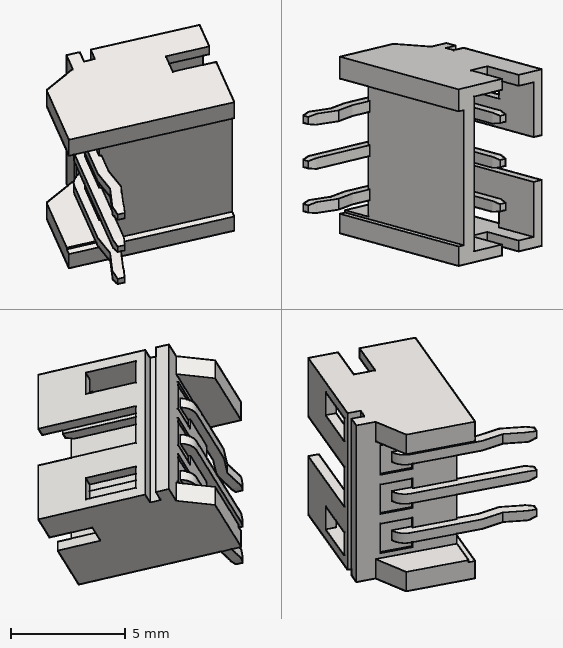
import cadquery as cq
import math


housing_width = 5.0
housing_height = 8.0
housing_depth = 6.12
core_width = 4.69
core_bottom = -3.11
plate_thickness = 1.0
ear_depth = 7.6
ear_start = 0.9
ear_full = 1.785

groove_near = 5.005
groove_far = 5.5
groove_depth = 0.61

wall = 0.5
cavity_depth = 4.57
cavity_end = 4.05
window_near = 2.22
window_bottom = 2.32
side_slot_height = 2.025
plate_slot_start = 1.395
plate_slot_end = 2.39
plate_slot_depth = 2.0

rib_inner = 0.74
rib_width = 0.83
rib_height = 0.5
rib_near = 1.445
rib_chamfer = 0.17

pin_pitch = 2.0
pin_size = 0.5
pin_x = 1.875
pin_mating_tip = 0.5
pin_leg_depth = 6.26
pin_reach = 8.3
bend_radius = 0.515
tip_length = 0.4
tip_size = 0.33
kink_start = 5.73
kink_end = 7.83
kink_rise = 0.23

pocket_size = 1.5
pocket_depth = 0.1

half_height = housing_height / 2
cavity_half_height = half_height - wall
pin_levels = [-pin_pitch, 0, pin_pitch]


def block(x_min, x_max, depth_near, depth_far, z_min, z_max):
    """Box between two X values, two depths behind the mouth and two Z values."""
    size = (x_max - x_min, depth_far - depth_near, z_max - z_min)
    return cq.Workplane("XY").box(*size, centered=False).translate((x_min, -depth_far, z_min))


def make_shell():
    """Full-height outline with ears and groove, trimmed back between the plates."""
    outline = [
        (0, 0),
        (0, -groove_near),
        (groove_depth, -groove_near),
        (groove_depth, -groove_far),
        (0, -groove_far),
        (0, -housing_depth),
        (ear_start, -housing_depth),
        (ear_full, -ear_depth),
        (housing_width, -ear_depth),
        (housing_width, 0),
    ]
    shell = (
        cq.Workplane("XY", origin=(0, 0, -half_height))
        .polyline(outline)
        .close()
        .extrude(housing_height)
    )
    plate_inner = half_height - plate_thickness
    between_ears = block(0, housing_width, housing_depth, ear_depth, -plate_inner, plate_inner)
    side_recess = block(core_width, housing_width, 0, ear_depth, core_bottom, plate_inner)
    return shell.cut(between_ears).cut(side_recess)


def cut_openings(body):
    """Cavity, the windows and slot in one wall, and the slots in both plates."""
    body = body.cut(block(wall, cavity_end, 0, cavity_depth, -cavity_half_height, cavity_half_height))
    side_slot_half = side_slot_height / 2
    body = body.cut(block(0, wall, 0, cavity_depth, -side_slot_half, side_slot_half))
    upper_window = block(0, wall, window_near, cavity_depth, window_bottom, cavity_half_height)
    body = body.cut(upper_window).cut(upper_window.mirror("XY"))
    plate_slot = block(plate_slot_start, plate_slot_end, 0, plate_slot_depth, -half_height, half_height)
    return body.cut(plate_slot)


def make_ribs():
    """Two guide ribs whose mouth ends have chamfered corners."""
    rib = block(cavity_end - rib_height, cavity_end, rib_near, cavity_depth, rib_inner, rib_inner + rib_width)
    rib = rib.faces(">Y").edges("|X").chamfer(rib_chamfer)
    return rib.union(rib.mirror("XY"))


def cut_pockets(body):
    """Square pocket around each pin in the back face."""
    for level in pin_levels:
        pocket = block(
            pin_x - pocket_size / 2,
            pin_x + pocket_size / 2,
            housing_depth - pocket_depth,
            housing_depth,
            level - pocket_size / 2,
            level + pocket_size / 2,
        )
        body = body.cut(pocket)
    return body


def make_tip(base, direction):
    """Pyramid-shaped pin end growing from the base point along a direction."""
    plane = cq.Plane(origin=base, xDir=(0, 0, 1), normal=direction)
    return (
        cq.Workplane(plane)
        .rect(pin_size, pin_size)
        .workplane(offset=tip_length)
        .rect(tip_size, tip_size)
        .loft(ruled=True)
    )


def make_pin(level, kinked):
    """Mating leg along Y, a round bend, and a solder leg along X."""
    half = pin_size / 2
    inner_radius = bend_radius - half
    outer_radius = bend_radius + half
    mating_start = -(pin_mating_tip + tip_length)
    solder_end = pin_reach - tip_length
    bend_x = pin_x + bend_radius
    bend_y = -pin_leg_depth + bend_radius
    leg_low = -pin_leg_depth - half
    leg_high = -pin_leg_depth + half
    kink_peak = (kink_start + kink_end) / 2
    diagonal = math.sqrt(0.5)

    profile = (
        cq.Workplane("XY", origin=(0, 0, level - half))
        .moveTo(pin_x - half, mating_start)
        .lineTo(pin_x - half, bend_y)
        .threePointArc(
            (bend_x - outer_radius * diagonal, bend_y - outer_radius * diagonal),
            (bend_x, leg_low),
        )
    )
    if kinked:
        profile = (
            profile.lineTo(kink_start, leg_low)
            .lineTo(kink_peak, leg_low + kink_rise)
            .lineTo(kink_end, leg_low)
        )
    profile = profile.lineTo(solder_end, leg_low).lineTo(solder_end, leg_high)
    if kinked:
        profile = (
            profile.lineTo(kink_end, leg_high)
            .lineTo(kink_peak, leg_high + kink_rise)
            .lineTo(kink_start, leg_high)
        )
    profile = (
        profile.lineTo(bend_x, leg_high)
        .threePointArc(
            (bend_x - inner_radius * diagonal, bend_y - inner_radius * diagonal),
            (pin_x + half, bend_y),
        )
        .lineTo(pin_x + half, mating_start)
        .close()
    )
    mating_tip = make_tip((pin_x, mating_start, level), (0, 1, 0))
    solder_tip = make_tip((solder_end, -pin_leg_depth, level), (1, 0, 0))
    return profile.extrude(pin_size).union(mating_tip).union(solder_tip)


result = cut_pockets(cut_openings(make_shell())).union(make_ribs())
for pin_level in pin_levels:
    result = result.union(make_pin(pin_level, kinked=pin_level != 0))